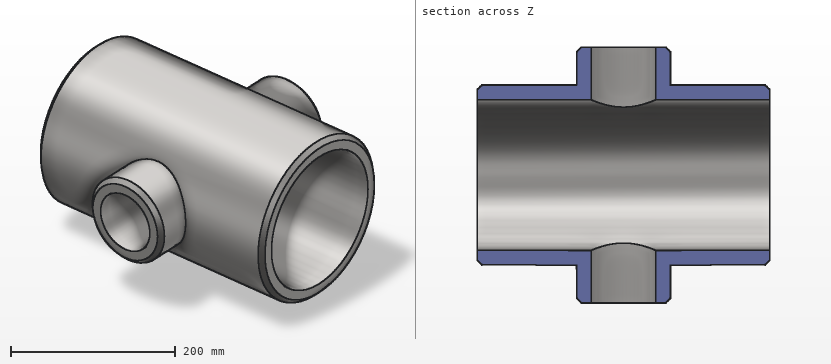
import cadquery as cq

run_length = 355.6
run_outer_diameter = 219.1
run_wall = 18.26

branch_span = 310.9
branch_outer_diameter = 114.3
branch_wall = 18.2

end_bevel = 6.0


def centred_cylinder(plane_name, diameter, length):
    """Cylinder centred on the origin, along the normal of the named plane."""
    return cq.Workplane(plane_name).circle(diameter / 2).extrude(length / 2, both=True)


def beveled_bar(plane_name, axis, diameter, length):
    """Solid bar with both of its circular end edges beveled."""
    bar = centred_cylinder(plane_name, diameter, length)
    return bar.faces(f"|{axis}").edges().chamfer(end_bevel)


def bore(plane_name, outer_diameter, wall, length):
    """Cutting cylinder for a through bore leaving the given wall."""
    return centred_cylinder(plane_name, outer_diameter - 2 * wall, length)


run = beveled_bar("YZ", "X", run_outer_diameter, run_length)
branches = beveled_bar("XZ", "Y", branch_outer_diameter, branch_span)

run_bore = bore("YZ", run_outer_diameter, run_wall, run_length)
branch_bore = bore("XZ", branch_outer_diameter, branch_wall, branch_span)

result = run.union(branches).cut(run_bore).cut(branch_bore)